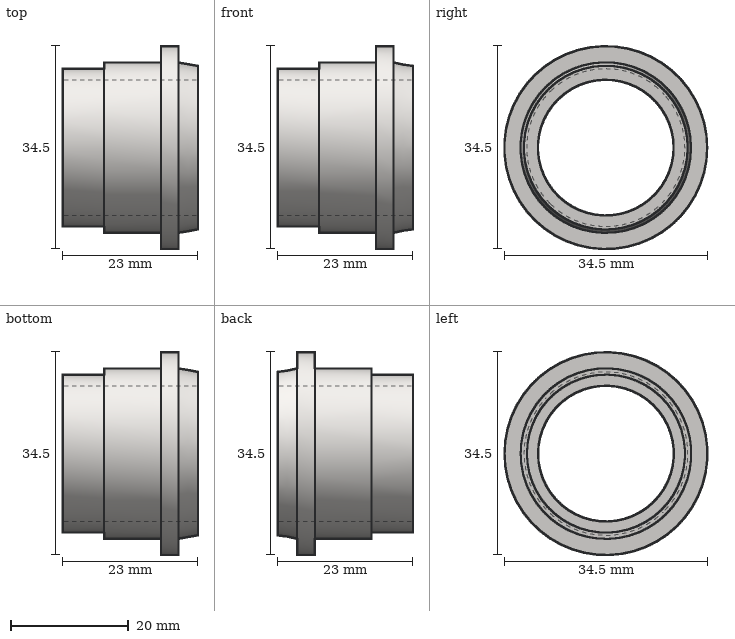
import cadquery as cq

total_length = 23.0
spigot_length = 7.05
flange_start = 16.7
flange_thickness = 3.0

bore_diameter = 23.0
spigot_diameter = 26.85
body_diameter = 28.98
flange_diameter = 34.5
taper_end_diameter = 27.8

flange_end = flange_start + flange_thickness
bore_radius = bore_diameter / 2
spigot_radius = spigot_diameter / 2
body_radius = body_diameter / 2
flange_radius = flange_diameter / 2
taper_end_radius = taper_end_diameter / 2

half_section = (
    cq.Workplane("XY")
    .moveTo(0, bore_radius)
    .lineTo(0, spigot_radius)
    .lineTo(spigot_length, spigot_radius)
    .lineTo(spigot_length, body_radius)
    .lineTo(flange_start, body_radius)
    .lineTo(flange_start, flange_radius)
    .lineTo(flange_end, flange_radius)
    .lineTo(flange_end, body_radius)
    .lineTo(total_length, taper_end_radius)
    .lineTo(total_length, bore_radius)
    .close()
)

result = half_section.revolve(360, (0, 0, 0), (1, 0, 0))